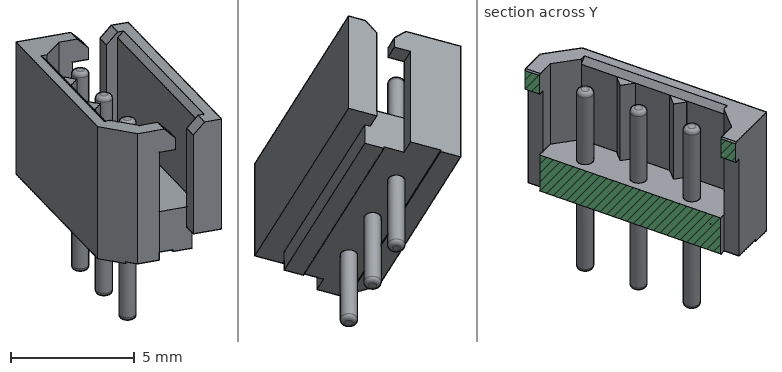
import cadquery as cq

length = 9.9
depth = 4.9
height = 5.89
half_length = length / 2

end_wall = 0.69
front_wall = 0.69
back_wall = 0.74
floor_top = 1.89
cavity_corner = 0.91
lip_chamfer = 0.26
cavity_half = half_length - end_wall
cavity_back = depth - back_wall

polarity_chamfer = 1.24
leg_back = 2.19
hook_back = 2.89
hook_bottom = 4.89
post_front = 3.66
post_chamfer = 0.495

back_wall_bottom = 0.98
base_back = 3.9
channel_front = 0.87
channel_back = 3.06
channel_height = 0.08

rib_projection = 0.45
rib_outer_half = 0.38
rib_top = height - lip_chamfer

pin_count = 3
pin_pitch = 2.5
pin_diameter = 0.7
pin_y = 1.8
pin_bottom = -3.5
pin_top = 5.4
pin_round = 0.19


def box(x_min, x_max, y_min, y_max, z_min, z_max):
    size = (x_max - x_min, y_max - y_min, z_max - z_min)
    return cq.Workplane("XY").box(*size, centered=False).translate((x_min, y_min, z_min))


def side_profile(points, half_width):
    """Extrude a YZ outline symmetrically along X."""
    return cq.Workplane("YZ").polyline(points).close().extrude(half_width, both=True)


def make_shell():
    shell = box(-half_length, half_length, 0, depth, 0, height)

    polarity_corner = (
        cq.Workplane("XY")
        .polyline([
            (half_length, 0),
            (half_length, polarity_chamfer),
            (half_length - polarity_chamfer, 0),
        ])
        .close()
        .extrude(height)
    )

    corner_x = cavity_half - cavity_corner
    corner_y = front_wall + cavity_corner
    cavity = (
        cq.Workplane("XY", origin=(0, 0, floor_top))
        .polyline([
            (-corner_x, front_wall),
            (corner_x, front_wall),
            (cavity_half, corner_y),
            (cavity_half, cavity_back),
            (-cavity_half, cavity_back),
            (-cavity_half, corner_y),
        ])
        .close()
        .extrude(height - floor_top)
    )

    front_lip = side_profile([
        (front_wall, height - lip_chamfer),
        (front_wall, height),
        (front_wall - lip_chamfer, height),
    ], corner_x)
    back_lip = side_profile([
        (cavity_back, height - lip_chamfer),
        (cavity_back, height),
        (cavity_back + lip_chamfer, height),
    ], cavity_half)
    return shell.cut(polarity_corner).cut(cavity).cut(front_lip).cut(back_lip)


def make_end_opening(side):
    """Opening through one end that leaves a hooked front leg and a rear post."""
    return (
        cq.Workplane("YZ", origin=(side * cavity_half, 0, 0))
        .polyline([
            (leg_back, 0),
            (leg_back, hook_bottom),
            (hook_back, hook_bottom),
            (hook_back, height - post_chamfer),
            (hook_back - post_chamfer, height),
            (post_front + post_chamfer, height),
            (post_front, height - post_chamfer),
            (post_front, back_wall_bottom),
            (depth, back_wall_bottom),
            (depth, 0),
        ])
        .close()
        .extrude(side * end_wall)
    )


def make_rib(side):
    """Pointed rib with its outer flank trimmed square to the wall."""
    center = side * pin_pitch / 2
    outer_x = center + side * rib_outer_half
    trim_y = front_wall + rib_projection - rib_outer_half
    return (
        cq.Workplane("XY", origin=(0, 0, floor_top))
        .polyline([
            (center - side * rib_projection, front_wall),
            (center, front_wall + rib_projection),
            (outer_x, trim_y),
            (outer_x, front_wall),
        ])
        .close()
        .extrude(rib_top - floor_top)
    )


def make_pin(x):
    return (
        cq.Workplane("XY", origin=(x, pin_y, pin_bottom))
        .circle(pin_diameter / 2)
        .extrude(pin_top - pin_bottom)
        .edges()
        .fillet(pin_round)
    )


result = make_shell()

result = result.cut(box(-half_length, half_length, base_back, depth, 0, back_wall_bottom))
for end in (-1, 1):
    result = result.cut(make_end_opening(end))
    result = result.union(make_rib(end))

result = result.cut(box(-half_length, half_length, channel_front, channel_back, 0, channel_height))

for index in range(pin_count):
    pin_x = (index - (pin_count - 1) / 2) * pin_pitch
    result = result.union(make_pin(pin_x))